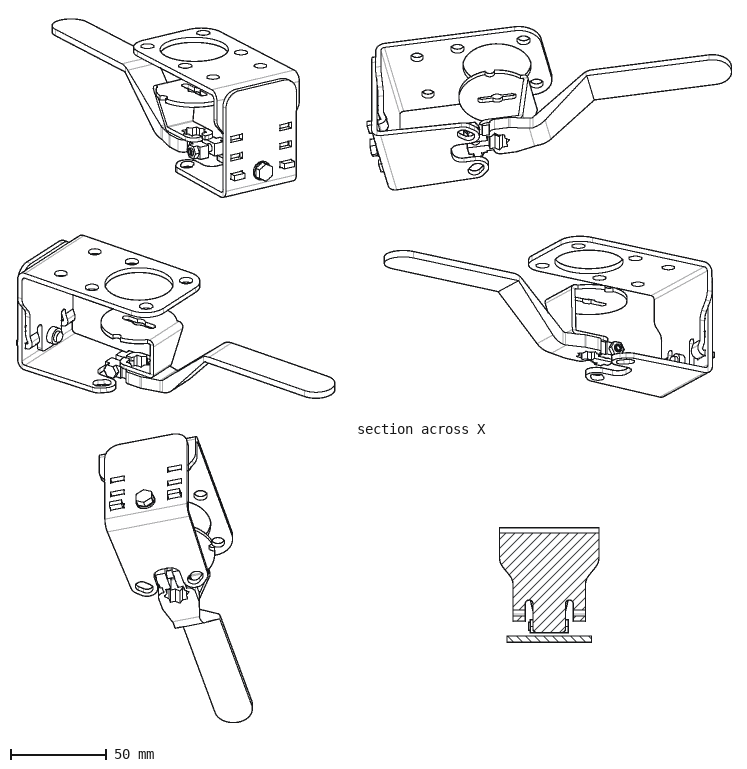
import cadquery as cq
import math


sheet = 2.9
bend_inner = 2.0
bend_outer = bend_inner + sheet
total_height = 60.0
joint_x = 59.5

upper_half_width = 26.0
upper_front_x = -26.2
upper_corner_r = 11.9
centre_hole_r = 17.8
bolt_circle_r = 24.9
mount_hole_r = 3.5
rear_hole_x = 39.6
rear_hole_y = 15.0
rear_hole_r = 3.3
shoulder_top_z = 41.5
shoulder_bottom_z = 32.7
shoulder_r = 7.7
flange_bottom_z = 5.0
tongue_half_width = 8.6
tongue_corner_r = 2.3
hook_inner_y = 12.5
hook_outer_y = 19.0
hook_slot_top_z = 22.0
hook_slot_r = 1.7
hook_start_z = 20.1

hook_lean_angle = math.radians(20)
hook_bottom_z = 11.0
hook_curl_x = 59.0
hook_curl_r = 3.6
hook_tip_x = 65.5

lower_half_width = 22.2
lower_top_z = 59.1
lower_corner_r = 8.0
slot_inner_circle_r = 18.0
slot_outer_circle_r = 21.0
slot_r = 3.3
lobe_r = 5.7
notch_end_x = 24.1
notch_corner_r = 5.2
window_inner_y = 11.7
window_outer_y = 19.1
window_pitch = 10.3
window_rows = 3
window_clearance = 0.2

bolt_z = 11.9
bolt_shank_r = 2.9
bolt_tip_x = 51.5
nut_start_x = 53.2
nut_r = 4.4
washer_r = 5.0
washer_thickness = 1.1
bolt_end_x = 66.8
bolt_head_corners = 9.5

handle_length = 191.5
handle_end_x = bolt_end_x - handle_length
grip_half_width = 10.0
grip_top_z = 37.5
grip_thickness = 3.6
grip_bend_x = -49.8
grip_bend_r = 8.0
taper_start_x = -49.2
hub_bottom_z = 5.0
hub_thickness = 6.9
hub_top_z = hub_bottom_z + hub_thickness
slope_top_foot_x = -20.0
slope_top_r = 2.3
slope_bottom_foot_x = -23.7
slope_bottom_r = 11.5
neck_x = -19.7
neck_r = 4.5
neck_half_width = 7.0
hub_start_x = -8.5
hub_start_r = 2.9
hub_half_width = 10.0
hub_end_x = -0.5
hub_round_r = 3.5
waist_half_width = 6.1
ear_start_x = 6.5
ear_end_x = 16.3
ear_half_width = 7.3
ear_gap = 3.8
stem_square_side = 9.4
clamp_screw_x = 11.7
clamp_nut_thickness = 2.5
clamp_screw_end = 1.0
clamp_screw_r = 2.1
clamp_socket_r = 1.3

plate_thickness = 2.3
disc_r = 20.0
disc_top_z = 37.3
disc_notch_r = 2.5
disc_slot_length = 20.3
disc_slot_width = 4.0
disc_hole_r = 3.3
web_bend_r = 0.4
web_top_x = -19.5
web_bottom_x = -15.0
web_top_half_width = 13.0
foot_half_width = 8.0
foot_end_x = 8.8
foot_corner_r = 5.0
foot_slot_width = 1.7


def rounded_outline(workplane, corners):
    """Closed outline through corners (u, v, radius), each rounded by an arc tangent to both its sides."""
    pieces = []
    for i, (u, v, radius) in enumerate(corners):
        here = cq.Vector(u, v)
        previous = cq.Vector(*corners[i - 1][:2])
        following = cq.Vector(*corners[(i + 1) % len(corners)][:2])
        back = (previous - here).normalized()
        ahead = (following - here).normalized()
        half_angle = back.getAngle(ahead) / 2
        setback = radius / math.tan(half_angle)
        towards_centre = (back + ahead).normalized()
        crown = here + towards_centre * (radius / math.sin(half_angle) - radius)
        pieces.append((here + back * setback, crown, here + ahead * setback, radius))

    outline = workplane.moveTo(*pieces[0][2].toTuple()[:2])
    for start, crown, end, radius in pieces[1:] + pieces[:1]:
        outline = outline.lineTo(*start.toTuple()[:2])
        if radius > 0:
            outline = outline.threePointArc(crown.toTuple()[:2], end.toTuple()[:2])
    return outline.close()


def side_profile(corners, y_min, y_max):
    """Solid whose (x, z) outline runs from y_min to y_max."""
    return rounded_outline(cq.Workplane("XZ", origin=(0, y_max, 0)), corners).extrude(y_max - y_min)


def plan_profile(corners, z_min, z_max):
    """Solid whose (x, y) outline runs from z_min to z_max."""
    return rounded_outline(cq.Workplane("XY", origin=(0, 0, z_min)), corners).extrude(z_max - z_min)


def end_profile(corners, x_min, x_max):
    """Solid whose (y, z) outline runs from x_min to x_max."""
    return rounded_outline(cq.Workplane("YZ", origin=(x_min, 0, 0)), corners).extrude(x_max - x_min)


def mirrored_plan(half):
    """Full (x, y) outline from its +y half."""
    return half + [(x, -y, radius) for x, y, radius in reversed(half)]


def mirrored_end(half):
    """Full (y, z) outline from its +y half."""
    return half + [(-y, z, radius) for y, z, radius in reversed(half)]


def along_x(radius, x_min, x_max):
    """Round bar on the bolt axis."""
    return cq.Workplane("YZ", origin=(x_min, 0, bolt_z)).circle(radius).extrude(x_max - x_min)


def box(x_range, y_range, z_range):
    """Block between pairs of limits."""
    lows, highs = zip(x_range, y_range, z_range)
    sizes = [high - low for low, high in zip(lows, highs)]
    return cq.Workplane("XY").box(*sizes, centered=False).translate(lows)


def hook(side):
    """Curled tab of the upper flange on the given Y side."""
    lean_x = math.sin(hook_lean_angle)
    lean_z = math.cos(hook_lean_angle)
    inner_face_x = joint_x - sheet
    curl_z = hook_bottom_z + hook_curl_r
    curl_inner_r = hook_curl_r - sheet

    def curl_point(radius, angle):
        return (hook_curl_x - radius * math.cos(angle), curl_z + radius * math.sin(angle))

    def lean_meets(radius, x):
        start_x, start_z = curl_point(radius, hook_lean_angle)
        return (x, start_z + (x - start_x) * lean_z / lean_x)

    mid_curl = (hook_lean_angle - math.pi / 2) / 2
    tab = (
        cq.Workplane("XZ")
        .moveTo(inner_face_x, hook_start_z)
        .lineTo(*lean_meets(hook_curl_r, inner_face_x))
        .lineTo(*curl_point(hook_curl_r, hook_lean_angle))
        .threePointArc(curl_point(hook_curl_r, mid_curl), (hook_curl_x, hook_bottom_z))
        .lineTo(hook_tip_x, hook_bottom_z)
        .lineTo(hook_tip_x, hook_bottom_z + sheet)
        .lineTo(hook_curl_x, hook_bottom_z + sheet)
        .threePointArc(curl_point(curl_inner_r, mid_curl), curl_point(curl_inner_r, hook_lean_angle))
        .lineTo(*lean_meets(curl_inner_r, joint_x))
        .lineTo(joint_x, hook_start_z)
        .close()
        .extrude(hook_outer_y - hook_inner_y)
    )
    y_high = hook_outer_y if side > 0 else -hook_inner_y
    return tab.translate((0, y_high, 0))


def bolt_with_nut():
    """Hexagon bolt with washer and a round nut, clamping both flanges."""
    washer_x = joint_x + sheet
    head_x = washer_x + washer_thickness
    bolt = along_x(bolt_shank_r, bolt_tip_x, head_x)
    bolt = bolt.union(along_x(nut_r, nut_start_x, joint_x - sheet))
    bolt = bolt.union(along_x(washer_r, washer_x, head_x))
    head = (
        cq.Workplane("YZ", origin=(head_x, 0, bolt_z))
        .transformed(rotate=(0, 0, 90))
        .polygon(6, bolt_head_corners)
        .extrude(bolt_end_x - head_x)
    )
    return bolt.union(head)


def make_upper_bracket():
    """L-shaped mounting bracket with two hooks and the fixing bolt, whose nut sits on its flange."""
    top_under_z = total_height - sheet
    bent_strip = side_profile(
        [
            (upper_front_x, total_height, 0),
            (joint_x, total_height, bend_outer),
            (joint_x, flange_bottom_z, 0),
            (joint_x - sheet, flange_bottom_z, 0),
            (joint_x - sheet, top_under_z, bend_inner),
            (upper_front_x, top_under_z, 0),
        ],
        -upper_half_width,
        upper_half_width,
    )
    plan = mirrored_plan([(upper_front_x, upper_half_width, upper_corner_r), (joint_x, upper_half_width, 0)])
    bracket = bent_strip.intersect(plan_profile(plan, 0, total_height))

    flange = mirrored_end(
        [
            (upper_half_width, total_height, 0),
            (upper_half_width, shoulder_top_z, shoulder_r),
            (hook_outer_y, shoulder_bottom_z, shoulder_r),
            (hook_outer_y, hook_start_z, 0),
            (hook_inner_y, hook_start_z, 0),
            (hook_inner_y, hook_slot_top_z, hook_slot_r),
            (tongue_half_width, hook_slot_top_z, hook_slot_r),
            (tongue_half_width, flange_bottom_z, tongue_corner_r),
        ]
    )
    bracket = bracket.intersect(end_profile(flange, upper_front_x, joint_x))
    for side in (1, -1):
        bracket = bracket.union(hook(side))

    mount_offset = bolt_circle_r / math.sqrt(2)
    top_face = cq.Workplane("XY", origin=(0, 0, top_under_z))
    bracket = bracket.cut(top_face.circle(centre_hole_r).extrude(sheet))
    mount_holes = top_face.rect(2 * mount_offset, 2 * mount_offset, forConstruction=True).vertices()
    bracket = bracket.cut(mount_holes.circle(mount_hole_r).extrude(sheet))
    rear_holes = top_face.pushPoints([(rear_hole_x, rear_hole_y), (rear_hole_x, -rear_hole_y)])
    bracket = bracket.cut(rear_holes.circle(rear_hole_r).extrude(sheet))
    return bracket.union(bolt_with_nut())


def make_lower_bracket():
    """L-shaped bracket with two slotted lobes and rows of windows for the hooks."""
    outer_x = joint_x + sheet
    inner_slot = slot_inner_circle_r / math.sqrt(2)
    outer_slot = slot_outer_circle_r / math.sqrt(2)
    blank = side_profile(
        [
            (0, 0, 0),
            (outer_x, 0, bend_outer),
            (outer_x, lower_top_z, 0),
            (joint_x, lower_top_z, 0),
            (joint_x, sheet, bend_inner),
            (0, sheet, 0),
        ],
        -lower_half_width,
        lower_half_width,
    )

    lobe_side_y = outer_slot + lobe_r
    notch_y = inner_slot - lobe_r
    lobe_front_offset = lobe_r * math.sqrt(2)
    plan = mirrored_plan(
        [
            (notch_end_x, notch_y, notch_corner_r),
            (notch_y - lobe_front_offset, notch_y, lobe_r),
            (lobe_side_y - lobe_front_offset, lobe_side_y, lobe_r),
            (joint_x, lower_half_width, 0),
            (outer_x, lower_half_width, 0),
        ]
    )
    bracket = blank.intersect(plan_profile(plan, 0, lower_top_z))
    flange = mirrored_end([(lower_half_width, 0, 0), (lower_half_width, lower_top_z, lower_corner_r)])
    bracket = bracket.intersect(end_profile(flange, 0, outer_x))

    slot_length = slot_outer_circle_r - slot_inner_circle_r + 2 * slot_r
    slot_centre = (inner_slot + outer_slot) / 2
    for side in (1, -1):
        slot = (
            cq.Workplane("XY")
            .center(slot_centre, side * slot_centre)
            .slot2D(slot_length, 2 * slot_r, side * 45)
            .extrude(sheet)
        )
        bracket = bracket.cut(slot)

    flange_x = (joint_x, outer_x)
    for row in range(window_rows):
        window_z = hook_bottom_z - window_clearance + row * window_pitch
        z_range = (window_z, window_z + sheet + 2 * window_clearance)
        bracket = bracket.cut(box(flange_x, (window_inner_y, window_outer_y), z_range))
        bracket = bracket.cut(box(flange_x, (-window_outer_y, -window_inner_y), z_range))
    return bracket.cut(along_x(bolt_shank_r, *flange_x))


def lever():
    """Cranked lever from the grip down to the hub, with a clamp split into two ears."""
    side = side_profile(
        [
            (handle_end_x, grip_top_z, 0),
            (grip_bend_x, grip_top_z, grip_bend_r),
            (slope_top_foot_x, hub_top_z, slope_top_r),
            (ear_end_x, hub_top_z, 0),
            (ear_end_x, hub_bottom_z, 0),
            (slope_bottom_foot_x, hub_bottom_z, slope_bottom_r),
            (grip_bend_x, grip_top_z - grip_thickness, 0),
            (handle_end_x, grip_top_z - grip_thickness, 0),
        ],
        -grip_half_width,
        grip_half_width,
    )
    grip_round_x = handle_end_x + grip_half_width
    waist_x = hub_end_x + hub_round_r
    plan = mirrored_plan(
        [
            (grip_round_x, grip_half_width, 0),
            (taper_start_x, grip_half_width, 0),
            (neck_x, neck_half_width, neck_r),
            (hub_start_x, hub_half_width, hub_start_r),
            (waist_x, hub_half_width, hub_round_r),
            (waist_x, waist_half_width, 0),
            (ear_start_x, waist_half_width, 0),
            (ear_start_x, ear_half_width, 0),
            (ear_end_x, ear_half_width, 0),
        ]
    )
    body = plan_profile(plan, hub_bottom_z, grip_top_z)
    round_end = cq.Workplane("XY", origin=(grip_round_x, 0, hub_bottom_z)).circle(grip_half_width)
    body = body.union(round_end.extrude(grip_top_z - hub_bottom_z)).intersect(side)
    hub_z = (hub_bottom_z, hub_top_z)
    return body.cut(box((0, ear_end_x), (-ear_gap / 2, ear_gap / 2), hub_z))


def clamp_screw():
    """Screw across the ears with a hexagon at each end and a recessed tip."""
    hexagon_corners = hub_thickness / math.cos(math.pi / 6)
    nut_face_y = ear_half_width + clamp_nut_thickness
    tip_y = nut_face_y + clamp_screw_end
    screw_z = (hub_bottom_z + hub_top_z) / 2
    axis = cq.Workplane("XZ", origin=(clamp_screw_x, 0, screw_z))
    screw = axis.workplane(offset=-nut_face_y).circle(clamp_screw_r).extrude(nut_face_y + tip_y)
    for start in (ear_half_width, -nut_face_y):
        hexagon = axis.workplane(offset=start).polygon(6, hexagon_corners)
        screw = screw.union(hexagon.extrude(clamp_nut_thickness))
    socket = axis.workplane(offset=nut_face_y).circle(clamp_socket_r).extrude(clamp_screw_end)
    return screw.cut(socket)


def locking_plate():
    """Folded plate: a slotted disc above, a sloping web and a foot that lies on the hub."""
    web_slope = (web_bottom_x - web_top_x) / (disc_top_z - hub_top_z)
    web_width_x = plate_thickness * math.sqrt(1 + web_slope**2)
    disc_under_z = disc_top_z - plate_thickness
    foot_top_z = hub_top_z + plate_thickness

    def web_inner_x(z):
        return web_top_x + web_width_x + (disc_top_z - z) * web_slope

    outer_r = web_bend_r + plate_thickness
    side = side_profile(
        [
            (disc_r, disc_top_z, 0),
            (web_top_x, disc_top_z, outer_r),
            (web_bottom_x, hub_top_z, outer_r),
            (foot_end_x, hub_top_z, 0),
            (foot_end_x, foot_top_z, 0),
            (web_inner_x(foot_top_z), foot_top_z, web_bend_r),
            (web_inner_x(disc_under_z), disc_under_z, web_bend_r),
            (disc_r, disc_under_z, 0),
        ],
        -disc_r,
        disc_r,
    )

    disc = cq.Workplane("XY", origin=(0, 0, disc_under_z)).circle(disc_r).extrude(plate_thickness)
    strip = mirrored_end(
        [
            (web_top_half_width, disc_top_z, 0),
            (web_top_half_width, disc_under_z, 0),
            (foot_half_width, foot_top_z, 0),
            (foot_half_width, hub_top_z, 0),
        ]
    )
    strip_plan = mirrored_plan(
        [
            (web_top_x, web_top_half_width, 0),
            (0, web_top_half_width, 0),
            (0, foot_half_width, 0),
            (foot_end_x, foot_half_width, foot_corner_r),
        ]
    )
    strip_solid = end_profile(strip, web_top_x, foot_end_x)
    strip_solid = strip_solid.intersect(plan_profile(strip_plan, hub_top_z, disc_top_z))
    plate = side.intersect(strip_solid.union(disc))

    openings = cq.Workplane("XY", origin=(0, 0, disc_under_z))
    plate = plate.cut(openings.slot2D(disc_slot_length, disc_slot_width).extrude(plate_thickness))
    plate = plate.cut(openings.circle(disc_hole_r).extrude(plate_thickness))
    notches = openings.pushPoints([(0, disc_r), (0, -disc_r)])
    plate = plate.cut(notches.circle(disc_notch_r).extrude(plate_thickness))

    foot_z = (hub_top_z, foot_top_z)
    return plate.cut(box((0, foot_end_x), (-foot_slot_width / 2, foot_slot_width / 2), foot_z))


def stem_hole():
    """Eight-pointed hole for a square stem: two squares turned by 45 degrees."""
    depth = hub_thickness + plate_thickness
    base = cq.Workplane("XY", origin=(0, 0, hub_bottom_z))
    square = base.rect(stem_square_side, stem_square_side).extrude(depth)
    return square.union(square.rotate((0, 0, 0), (0, 0, 1), 45))


def make_handle():
    """Lever with its locking plate and clamp screw."""
    return lever().union(locking_plate()).cut(stem_hole()).union(clamp_screw())


upper_bracket = make_upper_bracket()
lower_bracket = make_lower_bracket()
handle = make_handle()

result = cq.Compound.makeCompound([upper_bracket.val(), lower_bracket.val(), handle.val()])